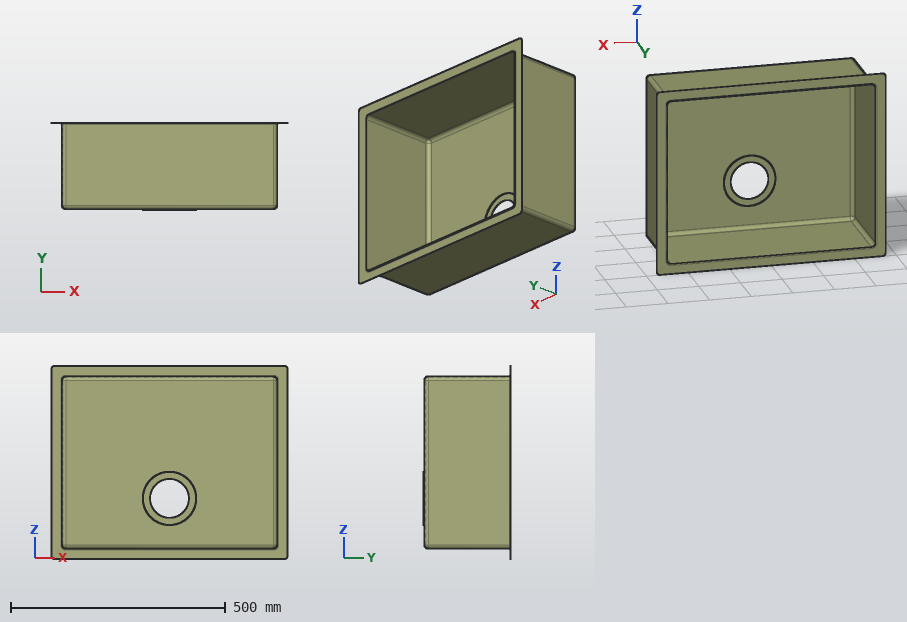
import cadquery as cq

sheet = 1.0

rim_width = 550.0
rim_height = 450.0
rim_corner_radius = 8.0

bowl_width = 501.6
bowl_height = 401.6
bowl_radius = 10.0
mouth_radius = 2.7

seat_diameter = 125.0
seat_step = 1.8
drain_diameter = 90.0
drain_z = -83.5

overall_depth = 203.2
floor_outer_depth = overall_depth - seat_step
floor_inner_depth = floor_outer_depth - sheet
seat_inner_depth = overall_depth - sheet


def plane_at(depth):
    """XZ plane at the given depth behind the rim face; extrusions run towards -Y."""
    return cq.Workplane("XZ", origin=(0, -depth, 0))


def make_rim():
    """Flat rim sheet with rounded corners."""
    rim = plane_at(0).rect(rim_width, rim_height).extrude(sheet)
    return rim.edges("|Y").fillet(rim_corner_radius)


def make_bowl_block(inset, depth):
    """Solid bowl shape, shrunk by inset from the outside faces, rounded at its sides and floor."""
    width = bowl_width - 2 * inset
    height = bowl_height - 2 * inset
    block = plane_at(0).rect(width, height).extrude(depth)
    return block.edges("|Y or <Y").fillet(bowl_radius - inset)


def round_mouth(body):
    """Blend the back of the rim into the outer bowl walls."""
    half_width = bowl_width / 2
    half_height = bowl_height / 2
    margin = sheet / 2
    corner_low = (-half_width - margin, -sheet - margin, -half_height - margin)
    corner_high = (half_width + margin, -sheet + margin, half_height + margin)
    seam = body.edges(cq.selectors.BoxSelector(corner_low, corner_high))
    return seam.fillet(mouth_radius)


def disc(diameter, start_depth, end_depth):
    """Disc on the drain axis between two depths."""
    return plane_at(start_depth).center(0, drain_z).circle(diameter / 2).extrude(end_depth - start_depth)


def add_drain(body):
    """Press the drain seat out of the floor and pierce the drain hole."""
    body = body.union(disc(seat_diameter, floor_inner_depth, overall_depth))
    body = body.cut(disc(seat_diameter - 2 * sheet, floor_inner_depth, seat_inner_depth))
    return body.cut(disc(drain_diameter, floor_inner_depth, overall_depth))


outer_body = make_rim().union(make_bowl_block(0, floor_outer_depth))
shell = round_mouth(outer_body).cut(make_bowl_block(sheet, floor_inner_depth))
result = add_drain(shell)